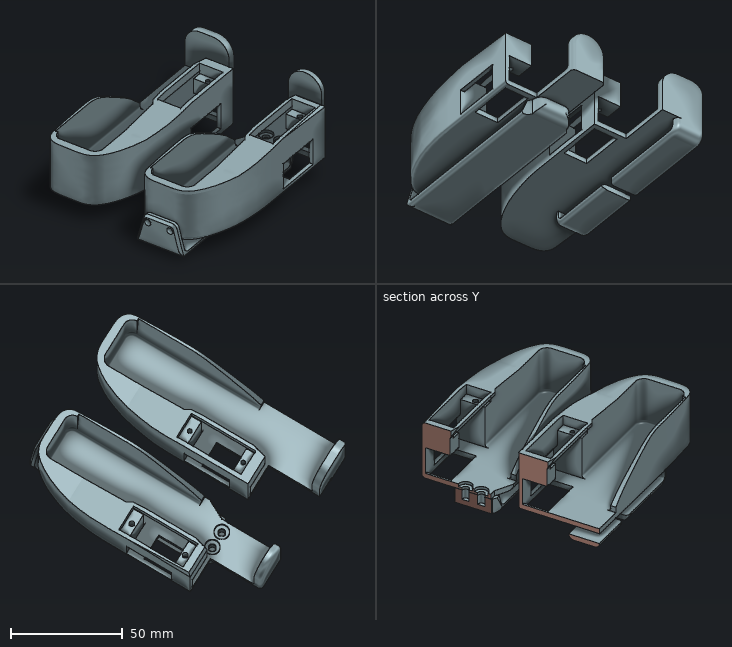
import cadquery as cq

CLIP_T = 2.9
BASE_Z = 7.9
FLOOR_Z = 10.8
RIM_Z = 34.9
TOP_Z = 38.0
LENGTH = 120.2
PICK = 0.1

FRONT_Y = 3.1
POCKET_FRONT_Y = 7.3
POCKET_CORNER_R = 4.2
FLOOR_FILLET = 1.7
WALL_DRAFT = 1.3
INNER_WALL_X = 14.8
WALL_BACK_Y = 76.6
RIM_FULL_Y = 37.3
SIDE_FRONT_Y = 50.5
WALL_STEP_Z = 13.7
WALL_BEVEL = 0.7

BAY_BACK_Y = 93.4
BAY_WALL = 2.2
BAY_FRONT_Y = 54.8
POCKET_BACK_Y = 88.5
FRONT_SHELF_Y = 60.0
REAR_SHELF_Y = 83.7
SHELF_Z = 32.3
BLOCK_Z = 24.4
OPENING_Y = (68.0, 90.4)
SLOPE_Y = (28.5, 60.2)
HOLE_INSET_X = 8.5
HOLE_Y = (57.7, 85.7)
LIP_Z = 33.8
LIP_X = 1.8
LIP_Y = (51.0, 54.1, 86.6)

FLANGE_T = 4.0
FLANGE_Y = LENGTH - FLANGE_T

STRAP_HOLDER_X = (0.0, 41.8)
STRAP_TONGUE_X = (0.0, 24.0)
STRAP_FLANGE_Z = 32.0
STRAP_FLANGE_R = (8.2, 9.1)
STRAP_W = 16.0
STRAP_FRONT_Y = 29.5
STRAP_GAP_Y = (66.1, 70.5)
STRAP_EDGE_R = 2.5
STRAP_END_R = 1.8
BEND_R = 5.3

CLIP_HOLDER_X = (51.2, 91.9)
CLIP_TONGUE_X = (56.0, 74.3)
TONGUE_TAPER_Y = (79.4, 88.4)
CLIP_FLANGE_Z = 32.0
CLIP_FLANGE_EDGE_R = 2.0
CLIP_FLANGE_FILLET = 1.7
KEEL_R = 1.8
RIM_BEVEL_H = 1.7
RIM_BEVEL_W = 0.2
BAY_CHAMFER = 1.5
BEVEL_END = 0.2
SCREW_X = (61.1, 69.3)
SCREW_Y = 91.4
SCREW_D = 3.5
SCREW_HEAD_D = 7.0
SCREW_HEAD_DEPTH = 1.5

CLIP_X = (52.9, 77.7)
CLIP_EDGE_R = 2.4
PAD_Y = (87.0, 95.8)
PAD_HOLE_DEPTH = 4.8
PAD_CORNER_R = 4.9
PAD_INSET = 2.8
LUG_Z = 17.5
LUG_TOP_INSET = 4.0
LUG_CORNER_R = 3.0
LUG_CHAMFER = 1.2
LUG_HOLE_D = 3.2
LUG_HOLE_X = (59.2, 71.2)
LUG_HOLE_Z = 13.8


def block(x, y, z):
    """Box between two limits along each axis."""
    size = (x[1] - x[0], y[1] - y[0], z[1] - z[0])
    return cq.Workplane("XY").box(*size, centered=False).translate((x[0], y[0], z[0]))


def near(x, y, z):
    """Selector for edges centred within the given limits at one level."""
    return cq.selectors.BoxSelector(
        (x[0] - PICK, y[0] - PICK, z - PICK),
        (x[1] + PICK, y[1] + PICK, z + PICK),
    )


def side_profile(x_start):
    """Sketch plane of (Y, Z) points that extrudes toward +X."""
    return cq.Workplane("YZ", origin=(x_start, 0, 0))


def hull(x, fullness):
    """Boat outline up to the bay top, square at the rear; fullness widens the right bow."""
    left, right = x
    bow = [
        (left + 0.1, 24.0),
        (left + 0.6, 12.7),
        (left + 1.6, 7.0),
        (left + 4.0, 4.5),
        (left + 8.4, FRONT_Y + 0.1),
        (left + 15.0, FRONT_Y),
        (right - 19.8, FRONT_Y + 0.1),
        (right - 15.5 + fullness, 4.8),
        (right - 11.5 + fullness, 8.5),
        (right - 5.7 + fullness, 19.5),
        (right - 2.9 + fullness, 28.5),
        (right - 0.8 + fullness / 2, 39.7),
        (right, SIDE_FRONT_Y),
    ]
    return (
        cq.Workplane("XY", origin=(0, 0, BASE_Z))
        .moveTo(left, BAY_BACK_Y)
        .lineTo(left, RIM_FULL_Y)
        .spline(bow, tangents=[(0, -1), (0, 1)], includeCurrent=True)
        .lineTo(right, BAY_BACK_Y)
        .close()
        .extrude(TOP_Z - BASE_Z)
    )


def wall_envelope(x):
    """Space under the curved rim of the left wall and pocket front."""
    return (
        side_profile(x[0])
        .moveTo(0, BASE_Z)
        .lineTo(0, RIM_Z)
        .lineTo(RIM_FULL_Y, RIM_Z)
        .spline([(50.6, 31.1), (62.9, 24.0), (WALL_BACK_Y - WALL_BEVEL, WALL_STEP_Z + WALL_BEVEL)],
                tangents=[(1, 0), (1, -1)], includeCurrent=True)
        .lineTo(WALL_BACK_Y, WALL_STEP_Z)
        .lineTo(WALL_BACK_Y, FLOOR_Z)
        .lineTo(BAY_BACK_Y, FLOOR_Z)
        .lineTo(BAY_BACK_Y, BASE_Z)
        .close()
        .extrude(x[1] - INNER_WALL_X - x[0])
    )


def bay_envelope(x):
    """Space under the sloped top to the right of the pocket."""
    return (
        side_profile(x[1] - INNER_WALL_X)
        .polyline([(0, BASE_Z), (0, RIM_Z), (SLOPE_Y[0], RIM_Z), (SLOPE_Y[1], TOP_Z),
                   (BAY_BACK_Y, TOP_Z), (BAY_BACK_Y, BASE_Z)])
        .close()
        .extrude(INNER_WALL_X)
    )


def pocket(x, wall):
    """Pocket with a drafted left wall, round front corners and a filleted floor."""
    right = x[1] - INNER_WALL_X
    low_left = x[0] + wall + WALL_DRAFT
    solid = block((low_left, right), (POCKET_FRONT_Y, LENGTH), (FLOOR_Z, TOP_Z))
    solid = solid.edges("|Z and <Y").fillet(POCKET_CORNER_R).edges("<Z").edges("not >Y").fillet(FLOOR_FILLET)
    draft = (
        cq.Workplane("XZ", origin=(0, POCKET_FRONT_Y + POCKET_CORNER_R, 0))
        .polyline([(low_left, FLOOR_Z + FLOOR_FILLET), (low_left - WALL_DRAFT, RIM_Z), (low_left, RIM_Z)])
        .close()
        .extrude(POCKET_FRONT_Y + POCKET_CORNER_R - LENGTH)
    )
    return solid.union(draft)


def bay_cutter(x, hole_d):
    """Bay pocket, the space beneath it, the cable window and the screw holes."""
    left = x[1] - INNER_WALL_X
    inner = x[1] - BAY_WALL
    past_wall = x[1] + BAY_WALL
    cutter = block((left, inner), (BAY_FRONT_Y, POCKET_BACK_Y), (SHELF_Z, TOP_Z))
    cutter = cutter.union(block((left, inner), (FRONT_SHELF_Y, REAR_SHELF_Y), (FLOOR_Z, TOP_Z)))
    under_bay_x = (left - FLOOR_FILLET, inner)
    cutter = cutter.union(block(under_bay_x, (FRONT_SHELF_Y, BAY_BACK_Y), (FLOOR_Z, BLOCK_Z)))
    cutter = cutter.union(block((left, past_wall), (FRONT_SHELF_Y, REAR_SHELF_Y), (FLOOR_Z, BLOCK_Z)))
    cutter = cutter.union(block((left, inner), OPENING_Y, (BASE_Z, FLOOR_Z)))
    holes = (
        cq.Workplane("XY", origin=(0, 0, BLOCK_Z))
        .pushPoints([(x[1] - HOLE_INSET_X, y) for y in HOLE_Y])
        .circle(hole_d / 2)
        .extrude(SHELF_Z - BLOCK_Z)
    )
    return cutter.union(holes)


def snap_lip(x):
    """Triangular lip overhanging the pocket, with slanted ends."""
    root = x[1] - INNER_WALL_X
    tip = root - LIP_X
    wedge = (
        cq.Workplane("XZ")
        .polyline([(root, LIP_Z), (root, TOP_Z), (tip, TOP_Z)])
        .close()
        .extrude(-BAY_BACK_Y)
    )
    front, tip_front, tip_back = LIP_Y
    outline = (
        cq.Workplane("XY")
        .polyline([(root, front), (tip, tip_front), (tip, tip_back), (root, BAY_BACK_Y)])
        .close()
        .extrude(TOP_Z)
    )
    slope = bay_envelope((x[0], x[1] - LIP_X)).union(bay_envelope(x))
    return wedge.intersect(outline).intersect(slope)


def holder_shell(x, fullness, wall, hole_d):
    """Pocket and side bay common to both holders."""
    envelope = wall_envelope(x).union(bay_envelope(x))
    shell = hull(x, fullness).intersect(envelope)
    return shell.cut(pocket(x, wall)).cut(bay_cutter(x, hole_d)).union(snap_lip(x))


def flange(x, top, corner_left, corner_right):
    """Upright end plate with round top corners, before its edges are rounded."""
    return (
        cq.Workplane("XZ", origin=(0, LENGTH, 0))
        .moveTo(x[0], BASE_Z)
        .lineTo(x[0], top - corner_left)
        .radiusArc((x[0] + corner_left, top), corner_left)
        .lineTo(x[1] - corner_right, top)
        .radiusArc((x[1], top - corner_right), corner_right)
        .lineTo(x[1], BASE_Z)
        .close()
        .extrude(FLANGE_T)
    )


def bent_block(x, y, z, bend_r):
    """Box whose two lower corners in side view are rounded."""
    return block(x, y, z).edges("|X and <Z").fillet(bend_r)


def strap():
    """U-shaped strap hanging below the strap holder, split by a gap with rounded ends."""
    x = (0.0, STRAP_W)
    outer = bent_block(x, (STRAP_FRONT_Y, LENGTH), (0, BASE_Z), BEND_R)
    outer = outer.faces("<X or >X").edges("not >Z").fillet(STRAP_EDGE_R)
    inner_y = (STRAP_FRONT_Y + CLIP_T, LENGTH - CLIP_T)
    band = outer.cut(bent_block(x, inner_y, (CLIP_T, BASE_Z), BEND_R - CLIP_T))
    front_half = block(x, (0, STRAP_GAP_Y[0]), (0, BASE_Z)).edges("|Z and >Y").fillet(STRAP_END_R)
    rear_half = block(x, (STRAP_GAP_Y[1], LENGTH), (0, BASE_Z)).edges("|Z and <Y").fillet(STRAP_END_R)
    return band.intersect(front_half.union(rear_half))


def make_strap_holder():
    body = holder_shell(STRAP_HOLDER_X, fullness=0.0, wall=1.5, hole_d=2.0)
    tongue = block(STRAP_TONGUE_X, (WALL_BACK_Y, LENGTH), (BASE_Z, FLOOR_Z))
    tongue = tongue.edges("|Z and <X and >Y").fillet(STRAP_EDGE_R)
    plate = block(STRAP_TONGUE_X, (FLANGE_Y, LENGTH), (BASE_Z, STRAP_FLANGE_Z))
    plate = plate.edges("|Z and <X and >Y").fillet(STRAP_EDGE_R)
    plate = plate.intersect(flange(STRAP_TONGUE_X, STRAP_FLANGE_Z, *STRAP_FLANGE_R))
    return body.union(tongue).union(plate).union(strap())


def bay_bevels(right):
    """Cutters for the rear bevel and for the right bevel that fades out toward the slope."""
    left = right - INNER_WALL_X - LIP_X
    rear = (
        side_profile(left)
        .polyline([(BAY_BACK_Y - BAY_CHAMFER, TOP_Z), (BAY_BACK_Y, TOP_Z), (BAY_BACK_Y, TOP_Z - BAY_CHAMFER)])
        .close()
        .extrude(right - left)
    )
    wide = [(right - BAY_CHAMFER, TOP_Z), (right, TOP_Z), (right, TOP_Z - BAY_CHAMFER)]
    narrow = [(right - BEVEL_END, TOP_Z), (right, TOP_Z), (right, TOP_Z - BEVEL_END)]
    side = (
        cq.Workplane("XZ", origin=(0, BAY_BACK_Y, 0))
        .polyline(wide)
        .close()
        .workplane(offset=BAY_BACK_Y - SLOPE_Y[1])
        .polyline(narrow)
        .close()
        .loft(ruled=True)
    )
    return rear.union(side)


def make_clip_holder():
    left, right = CLIP_HOLDER_X
    tongue_left, tongue_right = CLIP_TONGUE_X
    body = holder_shell(CLIP_HOLDER_X, fullness=0.7, wall=1.7, hole_d=2.5)

    body = body.edges(near((left, right), (0, SIDE_FRONT_Y), BASE_Z)).fillet(KEEL_R)
    rim_edges = body.edges(near((left, right), (0, SLOPE_Y[0]), RIM_Z)).edges("%BSPLINE")
    body = rim_edges.chamfer(RIM_BEVEL_H, RIM_BEVEL_W)
    body = body.cut(bay_bevels(right))

    taper = (
        cq.Workplane("XY", origin=(0, 0, BASE_Z))
        .polyline([(left, TONGUE_TAPER_Y[0]), (tongue_left, TONGUE_TAPER_Y[1]),
                   (tongue_left, BAY_BACK_Y), (left, BAY_BACK_Y)])
        .close()
        .extrude(FLOOR_Z - BASE_Z)
    )
    body = body.cut(taper)

    body = body.union(block(CLIP_TONGUE_X, (TONGUE_TAPER_Y[0], LENGTH), (BASE_Z, FLOOR_Z)))
    arch_r = (tongue_right - tongue_left) / 2
    plate = (
        cq.Workplane("XZ", origin=(0, LENGTH, 0))
        .moveTo(tongue_left, BASE_Z)
        .lineTo(tongue_left, CLIP_FLANGE_Z - arch_r)
        .threePointArc((tongue_left + arch_r, CLIP_FLANGE_Z), (tongue_right, CLIP_FLANGE_Z - arch_r))
        .lineTo(tongue_right, BASE_Z)
        .close()
        .extrude(FLANGE_T)
    )
    plate = plate.faces(">Y").edges("not <Z").fillet(CLIP_FLANGE_EDGE_R)
    body = body.intersect(block(CLIP_HOLDER_X, (0, FLANGE_Y), (0, TOP_Z))).union(plate)
    body = body.edges(near(CLIP_TONGUE_X, (FLANGE_Y, FLANGE_Y), FLOOR_Z)).fillet(CLIP_FLANGE_FILLET)

    screws = (
        cq.Workplane("XY", origin=(0, 0, FLOOR_Z))
        .pushPoints([(x, SCREW_Y) for x in SCREW_X])
    )
    body = body.cut(screws.circle(SCREW_D / 2).extrude(BASE_Z - FLOOR_Z))
    return body.cut(screws.circle(SCREW_HEAD_D / 2).extrude(-SCREW_HEAD_DEPTH))


def clip_band():
    """Pad at the rear, strap below the holder, and lug at the front."""
    outer = bent_block(CLIP_X, (0, PAD_Y[1]), (0, LUG_Z), BEND_R)
    inner = bent_block(CLIP_X, (CLIP_T, PAD_Y[0]), (CLIP_T, LUG_Z), BEND_R - CLIP_T)
    above_pad = block(CLIP_X, (CLIP_T, PAD_Y[1]), (BASE_Z, LUG_Z))
    return outer.cut(inner).cut(above_pad)


def clip_plan():
    """Clip seen from above, tapering at the pad to two round corners."""
    left, right = CLIP_X
    corner_y = PAD_Y[1] - PAD_CORNER_R
    return (
        cq.Workplane("XY")
        .moveTo(left, 0)
        .lineTo(left, PAD_Y[0])
        .lineTo(left + PAD_INSET, corner_y)
        .radiusArc((left + PAD_INSET + PAD_CORNER_R, PAD_Y[1]), PAD_CORNER_R)
        .lineTo(right - PAD_INSET - PAD_CORNER_R, PAD_Y[1])
        .radiusArc((right - PAD_INSET, corner_y), PAD_CORNER_R)
        .lineTo(right, PAD_Y[0])
        .lineTo(right, 0)
        .close()
        .extrude(LUG_Z)
    )


def lug_front():
    """Lug seen from the front, tapering upward to round corners."""
    left, right = CLIP_X
    outline = (
        cq.Workplane("XZ", origin=(0, LUG_CHAMFER, 0))
        .polyline([(left, 0), (left, CLIP_T), (left + LUG_TOP_INSET, LUG_Z),
                   (right - LUG_TOP_INSET, LUG_Z), (right, CLIP_T), (right, 0)])
        .close()
    )
    body = (
        outline.extrude(LUG_CHAMFER - LENGTH)
        .edges("|Y and >Z").fillet(LUG_CORNER_R)
        .edges("|Y and <Z").fillet(CLIP_EDGE_R)
    )
    bevelled_front = body.faces("<Y").wires().toPending().extrude(LUG_CHAMFER, combine=False, taper=45)
    return body.union(bevelled_front)


def make_clip():
    clip = clip_band().intersect(clip_plan()).intersect(lug_front())
    lug_holes = (
        cq.Workplane("XZ")
        .pushPoints([(x, LUG_HOLE_Z) for x in LUG_HOLE_X])
        .circle(LUG_HOLE_D / 2)
        .extrude(-FRONT_Y)
    )
    pad_holes = (
        cq.Workplane("XY", origin=(0, 0, BASE_Z))
        .pushPoints([(x, SCREW_Y) for x in SCREW_X])
        .circle(SCREW_D / 2)
        .extrude(-PAD_HOLE_DEPTH)
    )
    return clip.cut(lug_holes).cut(pad_holes)


strap_holder = make_strap_holder().solids()
clip_holder = make_clip_holder().solids()
clip = make_clip().solids()

result = cq.Compound.makeCompound([strap_holder.val(), clip_holder.val(), clip.val()])